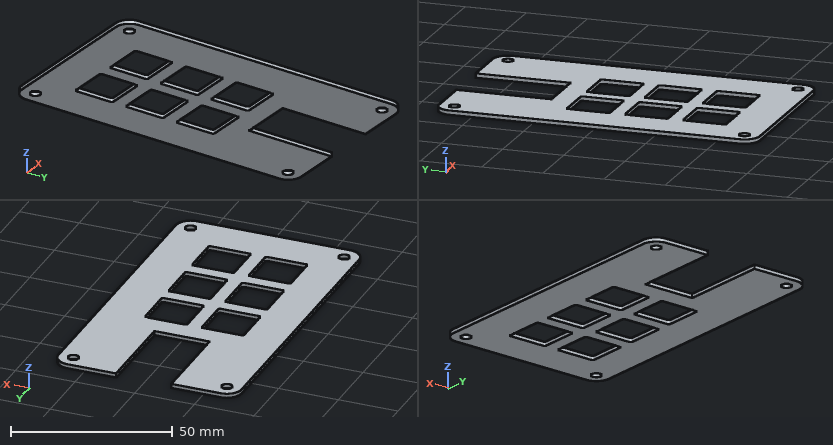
import cadquery as cq

plate_width = 61.5
plate_length = 105.0
plate_thickness = 1.5
corner_radius = 5.0

hole_diameter = 3.4
hole_spacing_x = plate_width - 2 * corner_radius
hole_spacing_y = plate_length - 2 * corner_radius

notch_width = 18.4
notch_center_x = 0.1
notch_depth = 31.1

window_columns = 2
window_rows = 3
window_size = 14.0
window_pitch = 19.0
window_corner_radius = 0.5
grid_center_x = -0.7
grid_center_y = -12.4


def make_plate():
    """Flat plate with rounded vertical corners, resting on Z = 0."""
    plate = cq.Workplane("XY").box(
        plate_width, plate_length, plate_thickness, centered=(True, True, False)
    )
    return plate.edges("|Z").fillet(corner_radius)


def make_mounting_holes():
    """Four through-hole cylinders near the plate corners."""
    return (
        cq.Workplane("XY")
        .rect(hole_spacing_x, hole_spacing_y, forConstruction=True)
        .vertices()
        .circle(hole_diameter / 2)
        .extrude(plate_thickness)
    )


def make_notch():
    """Rectangular cutter ending flush with the +Y edge."""
    return (
        cq.Workplane("XY")
        .center(notch_center_x, (plate_length - notch_depth) / 2)
        .rect(notch_width, notch_depth)
        .extrude(plate_thickness)
    )


def make_windows():
    """Grid of square cutters with slightly rounded corners."""
    return (
        cq.Workplane("XY")
        .center(grid_center_x, grid_center_y)
        .rarray(window_pitch, window_pitch, window_columns, window_rows)
        .rect(window_size, window_size)
        .extrude(plate_thickness)
        .edges("|Z")
        .fillet(window_corner_radius)
    )


result = make_plate().cut(make_mounting_holes()).cut(make_notch()).cut(make_windows())